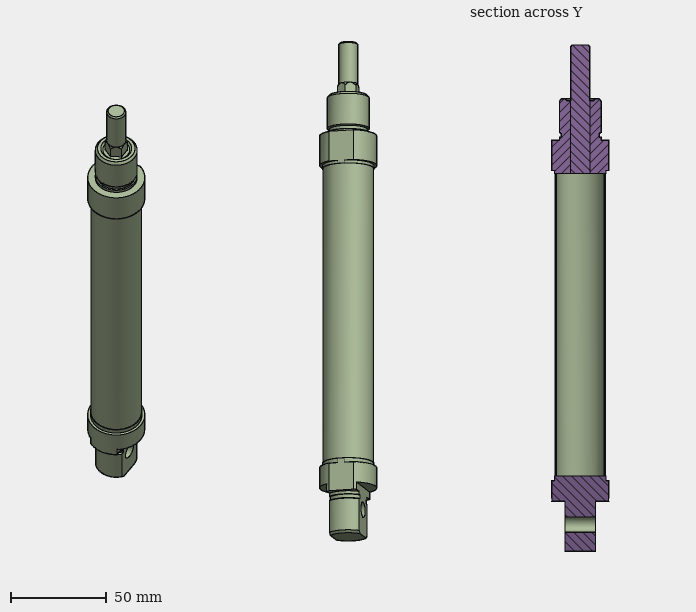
import cadquery as cq
import math

total_length = 265.0

cap_diameter = 30.0
overall_depth = 28.4
cap_flat_y = overall_depth - cap_diameter / 2
lip_diameter = 27.0

front_cap_top = 215.2
front_cap_height = 16.0
front_lip_height = 1.5

rear_cap_bottom = 22.3
rear_cap_height = 14.8
rear_lip_height = 2.5

nose_diameter = 22.0
neck_diameter = 20.1
nose_tip_diameter = 19.5
nose_chamfer_width = (nose_diameter - nose_tip_diameter) / 2
nose_chamfer_height = 1.3
collar_height = 1.5
neck_height = 1.9
neck_taper_height = 0.5
front_nose_length = 21.7
rear_nose_length = rear_cap_bottom

recess_top_diameter = 16.2
recess_floor_diameter = 14.0
recess_depth = 1.0

tongue_thickness = 16.2
tongue_top = 26.2
pin_hole_diameter = 8.0
pin_hole_z = 14.0

barrel_diameter = 26.5
barrel_bore = 25.0

rod_thread_diameter = 10.0
rod_tip_diameter = 8.5
rod_tip_chamfer = (rod_thread_diameter - rod_tip_diameter) / 2
hex_across_flats = rod_thread_diameter
hex_top = 243.0
hex_taper_height = 1.5

front_cap_bottom = front_cap_top - front_cap_height
front_lip_bottom = front_cap_bottom - front_lip_height
front_nose_top = front_cap_top + front_nose_length
rear_cap_top = rear_cap_bottom + rear_cap_height
rear_lip_top = rear_cap_top + rear_lip_height
hex_across_corners = hex_across_flats / math.cos(math.pi / 6)


def cylinder(diameter, bottom, top):
    """Solid cylinder on the Z axis between two levels."""
    return cq.Workplane("XY").workplane(offset=bottom).circle(diameter / 2).extrude(top - bottom)


def hex_prism(bottom, top):
    """Hexagonal bar on the Z axis with two corners on the Y axis."""
    return (
        cq.Workplane("XY").workplane(offset=bottom)
        .polygon(6, hex_across_corners).extrude(top - bottom)
        .rotate((0, 0, 0), (0, 0, 1), 90)
    )


def make_cap(lip_height, cap_height, nose_length):
    """Turned cap standing on its lip: lip, body, collar, relief neck and chamfered nose."""
    lip_radius = lip_diameter / 2
    cap_radius = cap_diameter / 2
    nose_radius = nose_diameter / 2
    neck_radius = neck_diameter / 2
    body_top = lip_height + cap_height
    collar_top = body_top + collar_height
    neck_top = collar_top + neck_height
    nose_top = body_top + nose_length
    turned = (
        cq.Workplane("XZ")
        .moveTo(0, 0)
        .lineTo(lip_radius, 0)
        .lineTo(lip_radius, lip_height)
        .lineTo(cap_radius, lip_height)
        .lineTo(cap_radius, body_top)
        .lineTo(nose_radius, body_top)
        .lineTo(nose_radius, collar_top)
        .lineTo(neck_radius, collar_top)
        .lineTo(neck_radius, neck_top)
        .lineTo(nose_radius, neck_top + neck_taper_height)
        .lineTo(nose_radius, nose_top - nose_chamfer_height)
        .lineTo(nose_radius - nose_chamfer_width, nose_top)
        .lineTo(0, nose_top)
        .close()
        .revolve(360, (0, 0, 0), (0, 1, 0))
    )
    flat_cutter = (
        cq.Workplane("XY")
        .box(cap_diameter, cap_diameter, nose_top, centered=(True, False, False))
        .translate((0, cap_flat_y, 0))
    )
    return turned.cut(flat_cutter)


def make_front_cap():
    """Front cap with a hexagonal guide for the rod and a tapered wiper recess."""
    cap = make_cap(front_lip_height, front_cap_height, front_nose_length)
    cap = cap.translate((0, 0, front_lip_bottom))
    recess = (
        cq.Workplane("XY").workplane(offset=front_nose_top - recess_depth)
        .circle(recess_floor_diameter / 2)
        .workplane(offset=recess_depth)
        .circle(recess_top_diameter / 2)
        .loft()
    )
    return cap.cut(recess).cut(hex_prism(front_lip_bottom, front_nose_top))


def make_rear_cap():
    """Rear cap, nose down, milled to a flat tongue with a cross hole along X."""
    cap = make_cap(rear_lip_height, rear_cap_height, rear_nose_length)
    cap = cap.mirror("XY").translate((0, 0, rear_lip_top))
    for side in (-1, 1):
        side_cutter = (
            cq.Workplane("XY")
            .box(cap_diameter, cap_diameter, tongue_top, centered=(True, True, False))
            .translate((side * (tongue_thickness + cap_diameter) / 2, 0, 0))
        )
        cap = cap.cut(side_cutter)
    pin_hole = (
        cq.Workplane("YZ").center(0, pin_hole_z)
        .circle(pin_hole_diameter / 2).extrude(tongue_thickness, both=True)
    )
    return cap.cut(pin_hole)


def make_barrel():
    """Plain tube between the lips of the two caps."""
    bore = cylinder(barrel_bore, rear_lip_top, front_lip_bottom)
    return cylinder(barrel_diameter, rear_lip_top, front_lip_bottom).cut(bore)


def make_rod():
    """Hexagonal rod, its corners turned away at the top, with a chamfered threaded end."""
    corner_turning = (
        cylinder(hex_across_corners, front_lip_bottom, hex_top)
        .faces(">Z").chamfer(hex_taper_height, (hex_across_corners - rod_thread_diameter) / 2)
    )
    hex_bar = hex_prism(front_lip_bottom, hex_top).intersect(corner_turning)
    thread = cylinder(rod_thread_diameter, hex_top, total_length).faces(">Z").chamfer(rod_tip_chamfer)
    return hex_bar.union(thread)


front_cap = make_front_cap()
rear_cap = make_rear_cap()
barrel = make_barrel()
rod = make_rod()

result = cq.Compound.makeCompound([front_cap.val(), rear_cap.val(), barrel.val(), rod.val()])